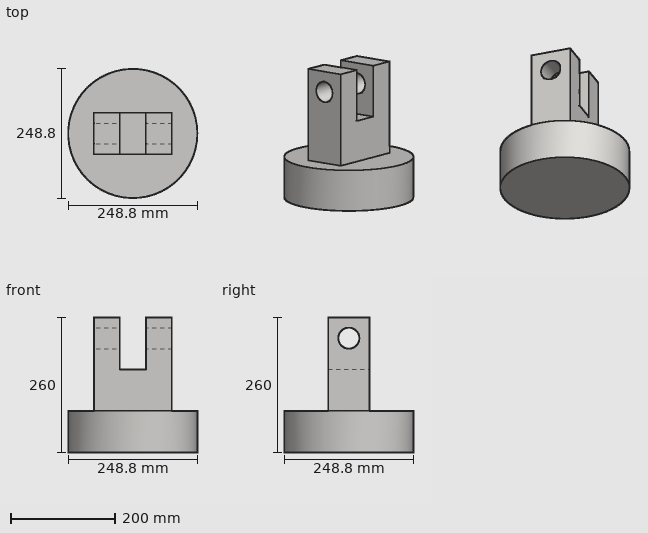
import cadquery as cq

total_height = 260.0
base_diameter = 248.8
base_height = 80.0
fork_width = 150.0
fork_depth = 80.0
slot_width = 50.0
slot_depth = 100.0
pin_diameter = 40.0
pin_drop = 40.0

fork_height = total_height - base_height
pin_height = total_height - pin_drop

base = cq.Workplane("XY").circle(base_diameter / 2).extrude(base_height)

fork = (
    cq.Workplane("XY")
    .workplane(offset=base_height)
    .rect(fork_width, fork_depth)
    .extrude(fork_height)
)

slot = (
    cq.Workplane("XY")
    .workplane(offset=total_height - slot_depth)
    .rect(slot_width, fork_depth)
    .extrude(slot_depth)
)

pin_hole = (
    cq.Workplane("YZ")
    .center(0, pin_height)
    .circle(pin_diameter / 2)
    .extrude(fork_width / 2, both=True)
)

result = base.union(fork).cut(slot).cut(pin_hole)